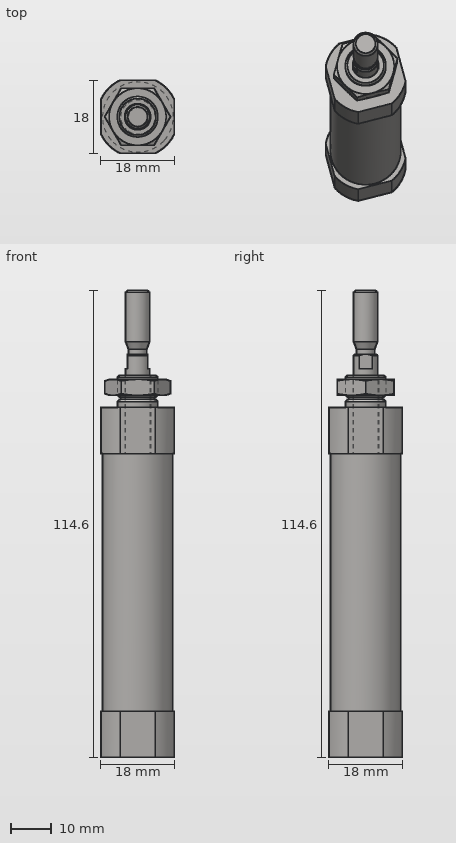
import cadquery as cq
import math

total_height = 114.6

cap_across_flats = 18.0
cap_diameter = 19.9
cap_height = 11.3
tube_diameter = 17.3
front_cap_top = 85.8

neck_diameter = 10.0
neck_chamfer_diameter = 8.9
neck_chamfer = (neck_diameter - neck_chamfer_diameter) / 2
relief_diameter = 8.4
relief_bottom = 87.8
relief_top = 88.4
neck_top = 93.7

rod_bore_diameter = 6.4

nut_across_flats = 14.0
nut_height = 3.9
nut_bottom = 88.8
nut_chamfer_angle = 20.0

rod_diameter = 6.0
tip_diameter = 4.8
tip_chamfer = (rod_diameter - tip_diameter) / 2
undercut_diameter = 4.6
thread_bottom = 102.0
undercut_taper_bottom = 100.2
undercut_bottom = 98.9
shoulder_chamfer_height = 0.3
wrench_flat_width = 5.0
wrench_flat_bottom = 95.3
rod_bottom = front_cap_top - cap_height


def cylinder(diameter, bottom, top):
    return cq.Workplane("XY").workplane(offset=bottom).circle(diameter / 2).extrude(top - bottom)


def revolved(profile):
    """Revolve a closed (radius, Z) profile about the Z axis."""
    return cq.Workplane("XZ").polyline(profile).close().revolve(360, (0, 0), (0, 1))


def end_cap(bottom):
    square = cq.Workplane("XY").workplane(offset=bottom).rect(cap_across_flats, cap_across_flats)
    return square.extrude(cap_height).intersect(cylinder(cap_diameter, bottom, bottom + cap_height))


def mounting_neck():
    neck_radius = neck_diameter / 2
    relief_radius = relief_diameter / 2
    chamfer_radius = neck_chamfer_diameter / 2
    return revolved([
        (0, front_cap_top),
        (neck_radius, front_cap_top),
        (neck_radius, relief_bottom - neck_chamfer),
        (chamfer_radius, relief_bottom),
        (relief_radius, relief_bottom),
        (relief_radius, relief_top),
        (chamfer_radius, relief_top),
        (neck_radius, relief_top + neck_chamfer),
        (neck_radius, neck_top - neck_chamfer),
        (chamfer_radius, neck_top),
        (0, neck_top),
    ])


def make_housing():
    rear_cap = end_cap(0)
    front_cap = end_cap(front_cap_top - cap_height)
    tube = cylinder(tube_diameter, cap_height, front_cap_top - cap_height)
    rod_bore = cylinder(rod_bore_diameter, rod_bottom, neck_top)
    return rear_cap.union(tube).union(front_cap).union(mounting_neck()).cut(rod_bore)


def make_nut():
    across_corners = nut_across_flats / math.cos(math.radians(30))
    corner_radius = across_corners / 2
    face_radius = nut_across_flats / 2
    chamfer_height = (corner_radius - face_radius) * math.tan(math.radians(nut_chamfer_angle))
    nut_top = nut_bottom + nut_height
    hexagon = cq.Workplane("XY").workplane(offset=nut_bottom).polygon(6, across_corners).extrude(nut_height)
    chamfer_envelope = revolved([
        (0, nut_bottom),
        (face_radius, nut_bottom),
        (corner_radius, nut_bottom + chamfer_height),
        (corner_radius, nut_top - chamfer_height),
        (face_radius, nut_top),
        (0, nut_top),
    ])
    return hexagon.intersect(chamfer_envelope).cut(cylinder(neck_diameter, nut_bottom, nut_top))


def make_rod():
    rod_radius = rod_diameter / 2
    undercut_radius = undercut_diameter / 2
    rod = revolved([
        (0, rod_bottom),
        (rod_radius, rod_bottom),
        (rod_radius, undercut_bottom - shoulder_chamfer_height),
        (wrench_flat_width / 2, undercut_bottom),
        (undercut_radius, undercut_bottom),
        (undercut_radius, undercut_taper_bottom),
        (rod_radius, thread_bottom),
        (rod_radius, total_height - tip_chamfer),
        (tip_diameter / 2, total_height),
        (0, total_height),
    ])
    flat_height = undercut_bottom - wrench_flat_bottom
    flat_depth = (rod_diameter - wrench_flat_width) / 2
    for side in (-1, 1):
        flat_cut = cq.Workplane("XY").box(flat_depth, rod_diameter, flat_height, centered=(True, True, False))
        flat_x = side * (wrench_flat_width + flat_depth) / 2
        rod = rod.cut(flat_cut.translate((flat_x, 0, wrench_flat_bottom)))
    return rod


housing = make_housing()
nut = make_nut()
rod = make_rod()
result = cq.Compound.makeCompound([housing.val(), nut.val(), rod.val()])